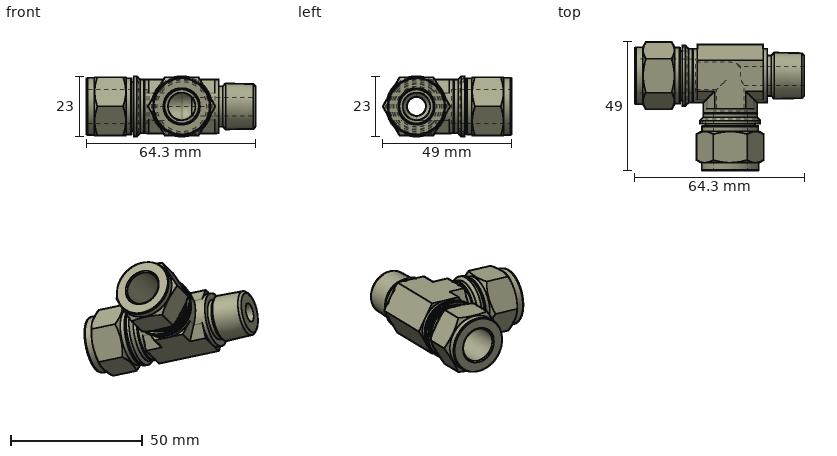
import cadquery as cq
import math


arm_end = 36.15
body_half_length = 12.5

shank_dia = 20.6
groove_near = 14.0
groove_width = 0.4
groove_depth = 0.2

collar_dia = 23.0
collar_near = 17.05
collar_far = 18.25
collar_cone = (collar_dia - shank_dia) / 2
neck_dia = 18.9
collar_rim = 0.2
collar_recess_depth = (collar_dia - neck_dia) / 2 - collar_rim

nut_flats = 22.2
nut_near = 19.0
nut_hex_near = 21.0
nut_hex_far = 33.1
nut_rear_dia = 21.5
nut_front_dia = 21.8
nut_hex_chamfer_angle = 30.0
nut_rear_chamfer_length = 0.4
nut_rear_chamfer_height = 0.1
nut_front_chamfer_length = 0.5
nut_front_chamfer_height = 0.25

thread_end = 28.15
thread_shoulder = 14.15
undercut_end = 15.6
undercut_dia = 15.5
thread_start_dia = 17.7
thread_end_dia = 17.2
thread_chamfer = 0.95

tube_bore_dia = 12.9
tube_bore_depth = 22.9
tube_bore_chamfer = 0.5
flow_bore_dia = 10.4
thread_bore_dia = 7.15

hex_half_angle = math.radians(30)
hex_corner_ratio = 1 / math.cos(hex_half_angle)


def revolve_arm(profile):
    """Revolve (distance, radius) points about the X axis; distance grows toward +X."""
    points = [(profile[0][0], 0)] + profile + [(profile[-1][0], 0)]
    return cq.Workplane("XY").polyline(points).close().revolve(360, (0, 0, 0), (1, 0, 0))


def hexagon_bar(flats, start, end):
    """Hexagonal bar along X with flats facing +Z and -Z."""
    hexagon = cq.Workplane("YZ", origin=(start, 0, 0)).polygon(6, flats * hex_corner_ratio)
    return hexagon.extrude(end - start)


def to_left(arm):
    return arm.rotate((0, 0, 0), (0, 0, 1), 180)


def to_branch(arm):
    return arm.rotate((0, 0, 0), (0, 0, 1), -90)


def body_bar(start, end, sharp_corner):
    """Hexagon bar along X, cut back on -Y to where its flats touch the round shank.

    The +Y corner either stays sharp or is cut back in the same way.
    """
    radius = shank_dia / 2
    corner = radius * hex_corner_ratio
    tangent_y = radius * math.cos(hex_half_angle)
    tangent_z = radius * math.sin(hex_half_angle)
    plus_y_side = [(corner, 0)] if sharp_corner else [(tangent_y, -tangent_z), (tangent_y, tangent_z)]
    section = [
        (corner / 2, radius),
        (-corner / 2, radius),
        (-tangent_y, tangent_z),
        (-tangent_y, -tangent_z),
        (-corner / 2, -radius),
        (corner / 2, -radius),
    ] + plus_y_side
    return cq.Workplane("YZ", origin=(start, 0, 0)).polyline(section).close().extrude(end - start)


def tee_body():
    run = body_bar(-body_half_length, body_half_length, sharp_corner=True)
    branch = to_branch(body_bar(0, body_half_length, sharp_corner=False))
    return run.union(branch)


def shank_and_collar():
    shank_radius = shank_dia / 2
    groove_radius = shank_radius - groove_depth
    groove_far = groove_near + groove_width
    return revolve_arm([
        (0, shank_radius),
        (groove_near, shank_radius),
        (groove_near, groove_radius),
        (groove_far, groove_radius),
        (groove_far, shank_radius),
        (collar_near - collar_cone, shank_radius),
        (collar_near, collar_dia / 2),
        (collar_far, collar_dia / 2),
        (collar_far, collar_dia / 2 - collar_rim),
        (collar_far - collar_recess_depth, neck_dia / 2),
        (nut_near, neck_dia / 2),
    ])


def nut():
    rear_radius = nut_rear_dia / 2
    front_radius = nut_front_dia / 2
    skirts = revolve_arm([
        (nut_near, rear_radius - nut_rear_chamfer_height),
        (nut_near + nut_rear_chamfer_length, rear_radius),
        (nut_hex_near, rear_radius),
        (nut_hex_far, front_radius),
        (arm_end - nut_front_chamfer_length, front_radius),
        (arm_end, front_radius - nut_front_chamfer_height),
    ])
    corner_radius = nut_flats / 2 * hex_corner_ratio
    slope = math.tan(math.radians(nut_hex_chamfer_angle))
    turned = revolve_arm([
        (nut_hex_near, rear_radius),
        (nut_hex_near + (corner_radius - rear_radius) * slope, corner_radius),
        (nut_hex_far - (corner_radius - front_radius) * slope, corner_radius),
        (nut_hex_far, front_radius),
    ])
    hexagon = hexagon_bar(nut_flats, nut_hex_near, nut_hex_far).intersect(turned)
    return skirts.union(hexagon)


def thread_arm():
    start_radius = thread_start_dia / 2
    end_radius = thread_end_dia / 2
    undercut_radius = undercut_dia / 2
    lead_in = start_radius - undercut_radius
    return revolve_arm([
        (0, shank_dia / 2),
        (thread_shoulder, shank_dia / 2),
        (thread_shoulder, undercut_radius),
        (undercut_end, undercut_radius),
        (undercut_end + lead_in, start_radius),
        (thread_end - thread_chamfer, end_radius),
        (thread_end, end_radius - thread_chamfer),
    ])


def tube_arm_bore():
    tube_radius = tube_bore_dia / 2
    shoulder = arm_end - tube_bore_depth
    return revolve_arm([
        (0, flow_bore_dia / 2),
        (shoulder, flow_bore_dia / 2),
        (shoulder, tube_radius),
        (arm_end - tube_bore_chamfer, tube_radius),
        (arm_end, tube_radius + tube_bore_chamfer),
    ])


def corner_chamber():
    """Quarter ball in the +X +Y corner that closes the elbow between the two tube bores."""
    radius = flow_bore_dia / 2
    half_disc = cq.Workplane("XZ").moveTo(0, -radius).threePointArc((radius, 0), (0, radius)).close()
    return half_disc.revolve(90, (0, 0, 0), (0, 1, 0))


def thread_bore():
    return cq.Workplane("YZ").circle(thread_bore_dia / 2).extrude(thread_end)


tube_arm = shank_and_collar().union(nut())

result = (
    tee_body()
    .union(thread_arm())
    .union(to_left(tube_arm))
    .union(to_branch(tube_arm))
    .cut(to_left(tube_arm_bore()))
    .cut(to_branch(tube_arm_bore()))
    .cut(corner_chamber())
    .cut(thread_bore())
)